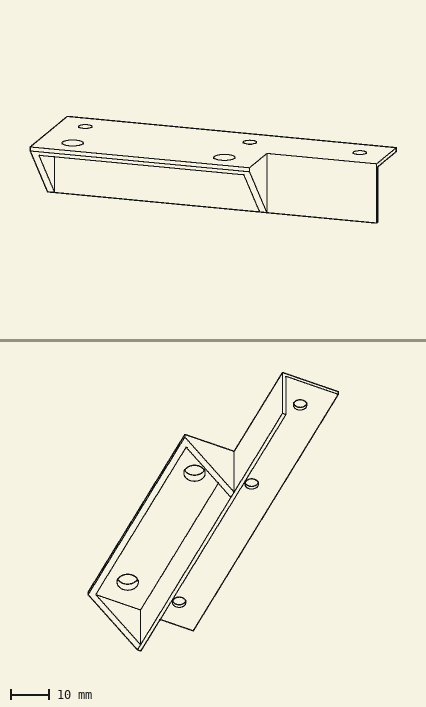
import cadquery as cq

length = 90.0
depth = 30.0
height = 16.0
plate_thickness = 1.1
wall_thickness = 1.0
wall_front = 14.0
shelf_length = length * 2 / 3
gusset_thickness = 2.0
shelf_thickness = 2.4

screw_diameter = 3.5
screw_y = 22.5
screw_xs = (7.5, 52.5, 82.5)
access_diameter = 5.5
access_y = 7.0
access_edge_distance = 9.3


def make_plate():
    """Flat top plate with the front right corner left out."""
    rear = cq.Workplane("XY").box(
        length, depth - wall_front, plate_thickness, centered=False
    ).translate((0, wall_front, height - plate_thickness))
    shelf = cq.Workplane("XY").box(
        shelf_length, depth, plate_thickness, centered=False
    ).translate((0, 0, height - plate_thickness))
    return rear.union(shelf)


def make_wall():
    """Upright wall hanging along the full length."""
    return cq.Workplane("XY").box(
        length, wall_thickness, height, centered=False
    ).translate((0, wall_front, 0))


def make_bracing():
    """Sloped wedge under the shelf, hollowed to leave two end gussets."""
    wedge = (
        cq.Workplane("YZ")
        .moveTo(0, height - plate_thickness)
        .lineTo(wall_front, height - plate_thickness)
        .lineTo(wall_front, 0)
        .close()
        .extrude(shelf_length)
    )
    pocket = cq.Workplane("XY").box(
        shelf_length - 2 * gusset_thickness,
        wall_front,
        height - shelf_thickness,
        centered=False,
    ).translate((gusset_thickness, 0, 0))
    return wedge.cut(pocket)


def hole_cutters(diameter, xs, y):
    """Vertical cylinders through the whole height."""
    return (
        cq.Workplane("XY")
        .pushPoints([(x, y) for x in xs])
        .circle(diameter / 2)
        .extrude(height)
    )


access_xs = (access_edge_distance, shelf_length - access_edge_distance)

result = (
    make_plate()
    .union(make_wall())
    .union(make_bracing())
    .cut(hole_cutters(screw_diameter, screw_xs, screw_y))
    .cut(hole_cutters(access_diameter, access_xs, access_y))
)